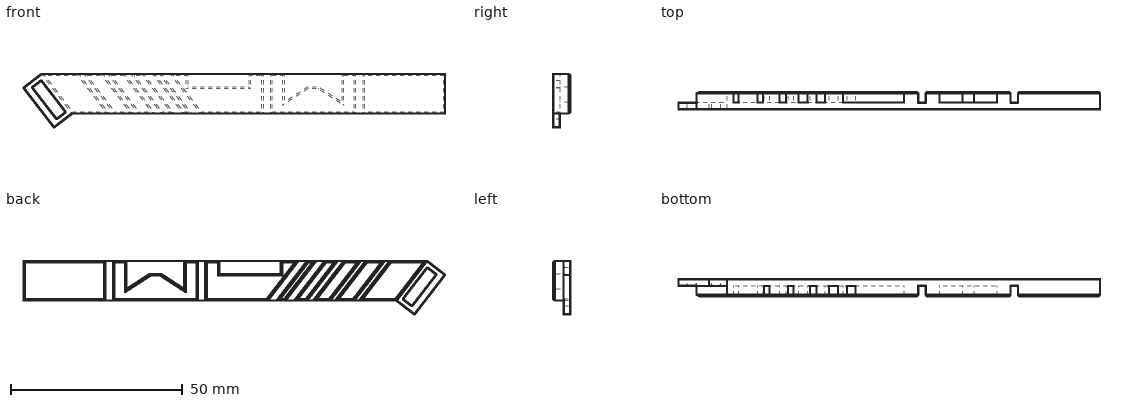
import cadquery as cq
import math

total_length = 122.8
total_thickness = 5.0
plate_thickness = 2.0
bar_height = 11.5
rim_chamfer = 0.5

lean_angle = 52.4
lean_sin = math.sin(math.radians(lean_angle))
lean_cos = math.cos(math.radians(lean_angle))
lean_run = bar_height * lean_cos / lean_sin

tab_width = 6.6
tab_length = bar_height / lean_sin
tab_end_rim = 2.1
tab_side_rim = 1.5
window_width = 3.3
window_length = tab_length - 2 * tab_side_rim

top_corner_x = tab_width * lean_sin

stripes = [(16.1, 1.5), (23.1, 1.5), (29.5, 1.8), (35.0, 2.6), (40.1, 2.6)]

recess_depth = 3.8
recess_floor = bar_height - recess_depth

notch_left = 47.9
notch_width = 17.8

recess_center = 84.3
recess_width = 16.7
hump_top_width = 3.3
hump_slope = 33.0
side_bar_width = 4.0
slot_width = 2.1


def extrude_along_y(points, y_start, y_end):
    """Prism with the given (x, z) outline, between two Y positions."""
    outline = cq.Workplane("XZ", origin=(0, y_start, 0)).polyline(points).close()
    return outline.extrude(y_start - y_end)


def raised_cut(points):
    """Cutter that removes only the raised layer inside the outline."""
    return extrude_along_y(points, plate_thickness, total_thickness)


def tab_point(along, outward):
    """(x, z) of a point measured down the leaning end and outward from it."""
    x = top_corner_x + along * lean_cos - outward * lean_sin
    z = bar_height - along * lean_sin - outward * lean_cos
    return (x, z)


def tab_rectangle(along_start, along_end, outward_start, outward_end):
    return [
        tab_point(along_start, outward_start),
        tab_point(along_end, outward_start),
        tab_point(along_end, outward_end),
        tab_point(along_start, outward_end),
    ]


def leaning_groove(left, width):
    return raised_cut([
        (left, bar_height),
        (left + width, bar_height),
        (left + width + lean_run, 0),
        (left + lean_run, 0),
    ])


def upright_cut(left, width, floor):
    right = left + width
    return raised_cut([(left, floor), (right, floor), (right, bar_height), (left, bar_height)])


def humped_recess():
    half_width = recess_width / 2
    half_top = hump_top_width / 2
    hump_foot = recess_floor - (half_width - half_top) * math.tan(math.radians(hump_slope))
    return raised_cut([
        (recess_center - half_width, bar_height),
        (recess_center - half_width, hump_foot),
        (recess_center - half_top, recess_floor),
        (recess_center + half_top, recess_floor),
        (recess_center + half_width, hump_foot),
        (recess_center + half_width, bar_height),
    ])


bar_outline = [
    (top_corner_x, bar_height),
    (total_length, bar_height),
    (total_length, 0),
    (top_corner_x + lean_run, 0),
]
bar = extrude_along_y(bar_outline, 0, total_thickness)

for stripe_left, stripe_width in stripes:
    bar = bar.cut(leaning_groove(stripe_left, stripe_width))
bar = bar.cut(upright_cut(notch_left, notch_width, recess_floor))
bar = bar.cut(humped_recess())
slot_offset = recess_width / 2 + side_bar_width + slot_width / 2
for side in (-1, 1):
    slot_left = recess_center + side * slot_offset - slot_width / 2
    bar = bar.cut(upright_cut(slot_left, slot_width, 0))

bar = bar.faces(">Y").edges().chamfer(rim_chamfer)

tab = extrude_along_y(tab_rectangle(0, tab_length, 0, tab_width), 0, plate_thickness)
window_outer = tab_width - tab_end_rim
window_outline = tab_rectangle(
    tab_side_rim, tab_side_rim + window_length, window_outer - window_width, window_outer
)
window = extrude_along_y(window_outline, 0, plate_thickness)

result = bar.union(tab).cut(window)